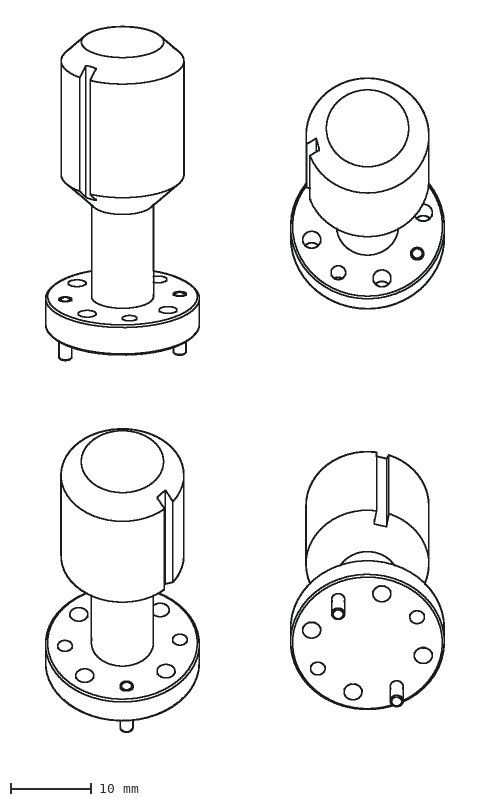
import cadquery as cq
import math

total_height = 41.95
flange_diameter = 19.05
flange_thickness = 4.05
flange_chamfer = 0.25
pin_projection = 3.9

stem_diameter = 7.7
stem_radius = stem_diameter / 2
head_diameter = 15.25
head_radius = head_diameter / 2
head_straight_height = 15.2
top_chamfer = 2.5
slot_width = 1.6
slot_depth = 1.25

pattern_radius = 7.15
screw_hole_diameter = 2.22
alignment_hole_diameter = 1.8
pin_diameter = 1.6
pin_chamfer = 0.15

head_top = total_height - pin_projection
shoulder_top = head_top - top_chamfer
cone_top = shoulder_top - head_straight_height
cone_bottom = cone_top - (head_radius - stem_radius)

screw_hole_angles = [0, 90, 180, 270]
alignment_hole_angles = [135, 315]
pin_angles = [45, 225]


def pattern_points(angles):
    """Points on the flange hole circle at the given angles."""
    return [
        (pattern_radius * math.cos(math.radians(a)), pattern_radius * math.sin(math.radians(a)))
        for a in angles
    ]


def make_flange():
    """Chamfered disc with screw holes, alignment holes and pin seats."""
    flange = cq.Workplane("XY").circle(flange_diameter / 2).extrude(flange_thickness)
    flange = flange.edges().chamfer(flange_chamfer)
    hole_groups = [
        (screw_hole_angles, screw_hole_diameter),
        (alignment_hole_angles, alignment_hole_diameter),
        (pin_angles, pin_diameter),
    ]
    for angles, diameter in hole_groups:
        holes = (
            cq.Workplane("XY")
            .pushPoints(pattern_points(angles))
            .circle(diameter / 2)
            .extrude(flange_thickness)
        )
        flange = flange.cut(holes)
    return flange


def make_stem_and_head():
    """Turned stem that widens into a head with conical ends."""
    half_profile = [
        (0, flange_thickness),
        (stem_radius, flange_thickness),
        (stem_radius, cone_bottom),
        (head_radius, cone_top),
        (head_radius, shoulder_top),
        (head_radius - top_chamfer, head_top),
        (0, head_top),
    ]
    return cq.Workplane("XZ").polyline(half_profile).close().revolve(360, (0, 0), (0, 1))


def make_slot():
    """Flat-bottomed slot along the -Y side of the head, running out in both cones."""
    slot_bottom = cone_top - slot_depth
    slot_height = head_straight_height + 2 * slot_depth
    return (
        cq.Workplane("XY")
        .box(slot_width, slot_depth, slot_height, centered=(True, False, False))
        .translate((0, -head_radius, slot_bottom))
    )


def make_pin(position):
    """Dowel pin chamfered at both ends, flush with the top of the flange."""
    pin = cq.Workplane("XY").circle(pin_diameter / 2).extrude(flange_thickness + pin_projection)
    pin = pin.edges().chamfer(pin_chamfer)
    return pin.translate((*position, -pin_projection))


body = make_flange().union(make_stem_and_head()).cut(make_slot())
pins = [make_pin(position) for position in pattern_points(pin_angles)]

result = cq.Compound.makeCompound([body.val(), *[pin.val() for pin in pins]])